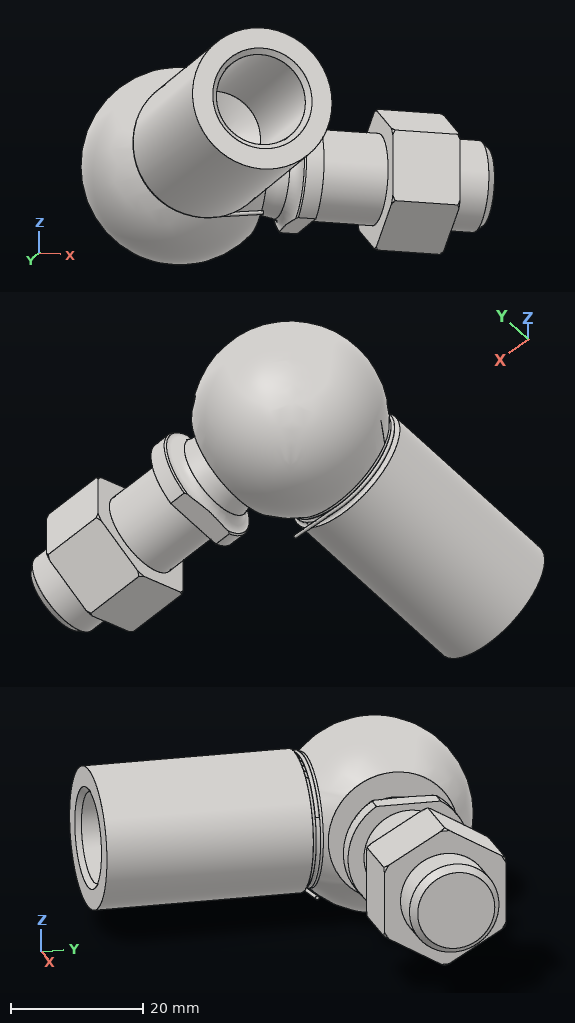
import cadquery as cq
import math


overall_x = 62.9
overall_y = 59.85
head_radius = 30.0 / 2
sleeve_radius = 11.0
sleeve_end = overall_y - head_radius
sleeve_start = 12.5
neck_diameter = 20.8
neck_radius = neck_diameter / 2
shoulder_radius = sleeve_radius - neck_radius
mouth_x = sleeve_radius
bore_radius = 14.0 / 2
bore_depth = 25.15
bore_chamfer = 0.8
drill_point_angle = 118.0

groove_diameter = 0.7
wire_diameter = 0.6
clip_y = -11.55
clip_start_angle = 20.0
clip_leave_angle = 277.0
clip_leg_length = 8.55

ball_radius = 9.5
stud_neck_radius = 5.0
stud_radius = bore_radius
stud_end = overall_x - head_radius
stud_tip_radius = 6.05
stud_tip_length = 1.2
flare_start_x = 15.35
flare_start_radius = 7.05
flare_end_radius = 8.9
flare_mid_x = 16.5
flare_mid_radius = 7.75
collar_start = 17.0
collar_end = 20.0
collar_chamfer = 0.25
collar_radius = 9.5
collar_across_flats = 16.1

seal_mouth_radius = 6.2

nut_start = 30.8
nut_length = 10.6
nut_corner_diameter = 22.0
nut_chamfer = 0.4


def clip_ring(section_diameter):
    """Full ring of round section running around the housing neck."""
    return cq.Workplane("XY").add(
        cq.Solid.makeTorus(neck_radius, section_diameter / 2, cq.Vector(0, clip_y, 0), cq.Vector(0, 1, 0))
    )


def make_housing():
    head = cq.Workplane("XY").sphere(head_radius)
    beyond_mouth = cq.Workplane("YZ").workplane(offset=mouth_x).circle(head_radius).extrude(head_radius)
    sleeve = (
        cq.Workplane("XY")
        .lineTo(neck_radius, 0)
        .lineTo(neck_radius, -sleeve_start + shoulder_radius)
        .radiusArc((sleeve_radius, -sleeve_start), -shoulder_radius)
        .lineTo(sleeve_radius, -sleeve_end)
        .lineTo(0, -sleeve_end)
        .close()
        .revolve(360, (0, 0, 0), (0, 1, 0))
    )
    bore_bottom = -sleeve_end + bore_depth
    drill_point = bore_radius / math.tan(math.radians(drill_point_angle / 2))
    bore = (
        cq.Workplane("XY")
        .polyline([
            (0, -sleeve_end),
            (bore_radius + bore_chamfer, -sleeve_end),
            (bore_radius, -sleeve_end + bore_chamfer),
            (bore_radius, bore_bottom),
            (0, bore_bottom + drill_point),
        ])
        .close()
        .revolve(360, (0, 0, 0), (0, 1, 0))
    )
    socket = cq.Workplane("XY").sphere(ball_radius)
    mouth = cq.Workplane("YZ").circle(stud_neck_radius).extrude(mouth_x)
    body = head.cut(beyond_mouth).union(sleeve)
    return body.cut(bore).cut(socket.union(mouth)).cut(clip_ring(groove_diameter))


def make_stud():
    neck_joint_x = math.sqrt(ball_radius**2 - stud_neck_radius**2)
    stud = (
        cq.Workplane("XY")
        .moveTo(-ball_radius, 0)
        .threePointArc((0, ball_radius), (neck_joint_x, stud_neck_radius))
        .lineTo(flare_start_x, stud_neck_radius)
        .lineTo(flare_start_x, flare_start_radius)
        .threePointArc((flare_mid_x, flare_mid_radius), (collar_start, flare_end_radius))
        .lineTo(collar_start, collar_radius - collar_chamfer)
        .lineTo(collar_start + collar_chamfer, collar_radius)
        .lineTo(collar_end, collar_radius)
        .lineTo(collar_end, stud_radius)
        .lineTo(stud_end - stud_tip_length, stud_radius)
        .lineTo(stud_end, stud_tip_radius)
        .lineTo(stud_end, 0)
        .close()
        .revolve(360, (0, 0, 0), (1, 0, 0))
    )
    collar_length = collar_end - flare_start_x
    for side in (1, -1):
        flat_cutter = cq.Workplane("XY").box(collar_length, 2 * collar_radius, collar_radius).translate(
            ((flare_start_x + collar_end) / 2, 0, side * (collar_across_flats + collar_radius) / 2)
        )
        stud = stud.cut(flat_cutter)
    return stud


def make_seal():
    """Tapered ring around the stud neck, between the housing mouth and the collar flare."""
    return (
        cq.Workplane("XY")
        .polyline([
            (mouth_x, stud_neck_radius),
            (mouth_x, seal_mouth_radius),
            (flare_start_x, flare_start_radius),
            (flare_start_x, stud_neck_radius),
        ])
        .close()
        .revolve(360, (0, 0, 0), (1, 0, 0))
    )


def make_nut():
    corner_radius = nut_corner_diameter / 2
    nut_plane = cq.Workplane("YZ").workplane(offset=nut_start)
    hexagon = nut_plane.transformed(rotate=(0, 0, 90)).polygon(6, nut_corner_diameter).extrude(nut_length)
    chamfered_disc = nut_plane.circle(corner_radius).extrude(nut_length).edges().chamfer(nut_chamfer)
    hole = nut_plane.circle(stud_radius).extrude(nut_length)
    return hexagon.intersect(chamfered_disc).cut(hole)


def make_clip():
    """Open wire ring with one straight leg leaving it tangentially."""
    def on_ring(angle):
        turn = math.radians(angle)
        return (neck_radius * math.cos(turn), clip_y, neck_radius * math.sin(turn))

    leave = on_ring(clip_leave_angle)
    leave_turn = math.radians(clip_leave_angle)
    leg_end = (
        leave[0] - clip_leg_length * math.sin(leave_turn),
        clip_y,
        leave[2] + clip_leg_length * math.cos(leave_turn),
    )
    start = on_ring(clip_start_angle)
    middle = on_ring((clip_start_angle + clip_leave_angle) / 2)
    path = cq.Wire.assembleEdges([
        cq.Edge.makeThreePointArc(cq.Vector(start), cq.Vector(middle), cq.Vector(leave)),
        cq.Edge.makeLine(cq.Vector(leave), cq.Vector(leg_end)),
    ])
    section_plane = cq.Plane(origin=start, xDir=(0, 1, 0), normal=path.tangentAt(0).toTuple())
    return cq.Workplane(section_plane).circle(wire_diameter / 2).sweep(cq.Workplane("XY").add(path))


housing = make_housing()
stud = make_stud()
seal = make_seal()
nut = make_nut()
clip = make_clip()

result = cq.Compound.makeCompound([housing.val(), stud.val(), seal.val(), nut.val(), clip.val()])